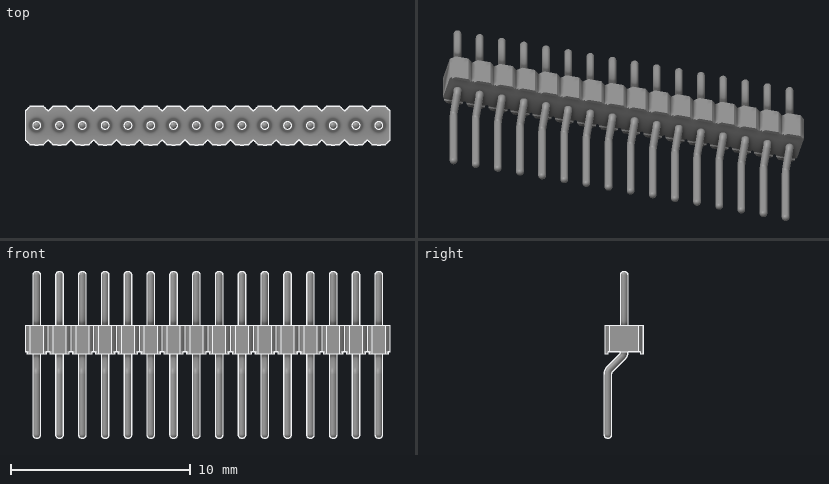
import cadquery as cq
import math

pin_count = 16
pitch = 1.27
body_length = pin_count * pitch

body_width = 2.15
body_height = 1.6
corner_chamfer = 0.27
channel_width = 1.8
channel_depth = 0.12

overall_width = 2.2
overall_height = 9.3
pin_diameter = 0.43
pin_radius = pin_diameter / 2
tip_round = 0.2
upper_length = 3.0
bend_radius = 0.4
bend_angle = math.radians(45)

pin_top = body_height + upper_length
pin_bottom = pin_top - overall_height
bend_start = channel_depth
pin_step = overall_width - body_width / 2 - pin_radius


def pin_position(index):
    """X position of one pin, the row being centred on X = 0."""
    return (index - (pin_count - 1) / 2) * pitch


def make_body_cell(x):
    """One octagonal-cornered block of the body, one pitch long."""
    block = cq.Workplane("XY").box(pitch, body_width, body_height, centered=(True, True, False))
    return block.edges("|Z").chamfer(corner_chamfer).translate((x, 0, 0))


def make_body():
    """Row of joined blocks with a shallow channel along the underside."""
    body = make_body_cell(pin_position(0))
    for index in range(1, pin_count):
        body = body.union(make_body_cell(pin_position(index)))
    channel = cq.Workplane("XY").box(
        body_length, channel_width, channel_depth, centered=(True, True, False)
    )
    return body.cut(channel)


def make_pin():
    """Round pin with a double bend that shifts its lower leg towards -Y."""
    arc_side = bend_radius * (1 - math.cos(bend_angle))
    arc_drop = bend_radius * math.sin(bend_angle)
    half_side = bend_radius * (1 - math.cos(bend_angle / 2))
    half_drop = bend_radius * math.sin(bend_angle / 2)
    slope_side = pin_step - 2 * arc_side
    slope_drop = slope_side / math.tan(bend_angle)
    bend_end = bend_start - 2 * arc_drop - slope_drop

    path = (
        cq.Workplane("YZ")
        .moveTo(0, pin_top)
        .lineTo(0, bend_start)
        .threePointArc((-half_side, bend_start - half_drop), (-arc_side, bend_start - arc_drop))
        .lineTo(-arc_side - slope_side, bend_start - arc_drop - slope_drop)
        .threePointArc((-pin_step + half_side, bend_end + half_drop), (-pin_step, bend_end))
        .lineTo(-pin_step, pin_bottom)
    )
    pin = cq.Workplane("XY").workplane(offset=pin_top).circle(pin_radius).sweep(path)
    return pin.faces(">Z or <Z").edges().fillet(tip_round)


result = make_body()
pin = make_pin()
for index in range(pin_count):
    result = result.union(pin.translate((pin_position(index), 0, 0)))